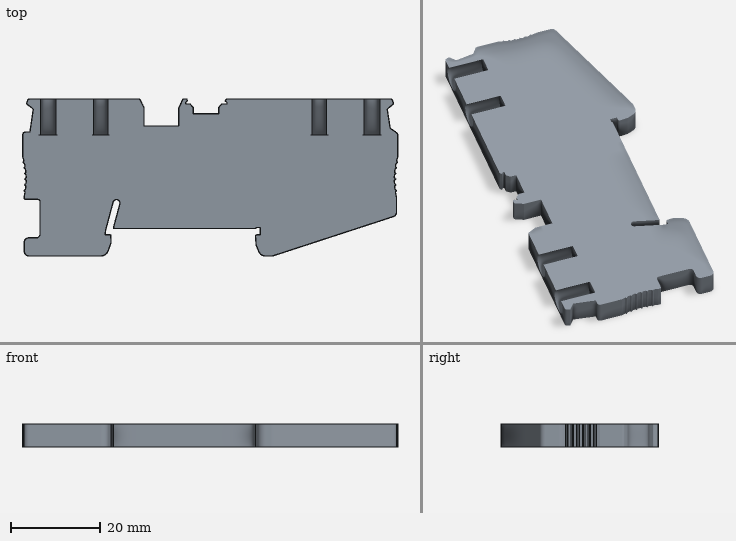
import cadquery as cq
import math

LENGTH = 84.0
HEIGHT = 35.2
THICKNESS = 5.2

LOWER_LEFT = 0.3
LOWER_RIGHT = LENGTH - 0.25
GRIP_Y = 17.2
SHOULDER_Y = 27.8
RAIL_SEAT_Y = 6.1
LATCH_Y = 4.8
MARKER_FLOOR_Y = 31.9
MARKER_LEDGE_Y = 34.1
WINDOW_FLOOR_Y = 29.15
WINDOW_TAPER_Y = 33.2

SLOT_WIDTH = 1.5
SLOT_LEAN = math.radians(15)
SLOT_TOP_Y = 12.6
SLOT_END_ROUNDING = 0.49
SLOT_MOUTH_X = 20.25

GRIP_DEPTH = 0.75
GRIP_RADIUS = 16.8
CREST_DEPTH = 0.46
CREST_RADIUS = 17.2
RIDGE_COUNT = 6
RIDGE_PITCH = 1.3
RIDGE_TOP_Y = 21.0
RIDGE_BASE = 0.6

CHANNEL_RADIUS = 2.5
CHANNEL_ARC_HALF_OPENING = 1.5
CHANNEL_LENGTH = 8.1
OUTER_FLOOR = 0.5
INNER_FLOOR = 0.25
CHANNELS = [(5.7, OUTER_FLOOR), (17.5, INNER_FLOOR), (66.45, INNER_FLOOR), (78.2, OUTER_FLOOR)]


def rounded_outline(corners):
    """Closed outline through (x, y, radius) corners; radius 0 leaves a corner sharp."""
    vectors = [cq.Vector(x, y, 0) for x, y, _ in corners]
    pieces = []
    for i, (_, _, radius) in enumerate(corners):
        corner = vectors[i]
        if radius == 0:
            pieces.append((corner, None, corner))
            continue
        back = (vectors[i - 1] - corner).normalized()
        ahead = (vectors[(i + 1) % len(vectors)] - corner).normalized()
        half_angle = back.getAngle(ahead) / 2
        setback = radius / math.tan(half_angle)
        bisector = (back + ahead).normalized()
        middle = corner + bisector * (radius / math.sin(half_angle) - radius)
        pieces.append((corner + back * setback, middle, corner + ahead * setback))

    outline = cq.Workplane("XY").moveTo(*pieces[0][2].toTuple()[:2])
    for start, middle, end in pieces[1:] + pieces[:1]:
        outline = outline.lineTo(*start.toTuple()[:2])
        if middle is not None:
            outline = outline.threePointArc(middle.toTuple()[:2], end.toTuple()[:2])
    return outline.close()


def slot_right_x(y):
    return SLOT_MOUTH_X + (y - RAIL_SEAT_Y) * math.tan(SLOT_LEAN)


def slot_left_x(y):
    return slot_right_x(y) - SLOT_WIDTH / math.cos(SLOT_LEAN)


def top_edge():
    """Corners from the left shoulder along the +Y edge to the right shoulder."""
    left_end = [
        (0, SHOULDER_Y, 0.7),
        (1.6, SHOULDER_Y, 0),
        (2.35, 32.9, 0.25),
        (0.8, 34.1, 0.2),
        (1.2, HEIGHT, 0.5),
    ]
    window = [
        (26.2, HEIGHT, 0.3),
        (27.2, WINDOW_TAPER_Y, 0),
        (27.2, WINDOW_FLOOR_Y, 0),
        (34.95, WINDOW_FLOOR_Y, 0),
        (34.95, WINDOW_TAPER_Y, 0),
        (35.9, HEIGHT, 0.25),
    ]
    marker_recess = [
        (36.8, HEIGHT, 0.2),
        (36.9, 34.8, 0),
        (36.5, 34.4, 0),
        (36.5, MARKER_LEDGE_Y, 0),
        (37.5, MARKER_LEDGE_Y, 0),
        (38.2, 33.3, 0),
        (38.2, MARKER_FLOOR_Y, 0),
        (43.85, MARKER_FLOOR_Y, 0),
        (43.85, 33.3, 0),
        (44.6, MARKER_LEDGE_Y, 0),
        (45.7, MARKER_LEDGE_Y, 0),
        (45.7, 34.4, 0),
        (45.3, 34.8, 0),
        (45.7, HEIGHT, 0.2),
    ]
    right_end = [
        (82.7, HEIGHT, 0.5),
        (83.1, 34.1, 0.2),
        (81.65, 32.9, 0.25),
        (82.3, 28.65, 0.25),
        (LENGTH, 27.5, 0.7),
    ]
    return left_end + window + marker_recess + right_end


def bottom_edge():
    """Corners from the right grip along the -Y side to the left grip."""
    right_foot = [
        (LENGTH, GRIP_Y, 0),
        (LOWER_RIGHT, GRIP_Y, 0),
        (LOWER_RIGHT, 9.1, 1.2),
        (55.95, 0, 1.7),
        (53.25, 0, 1.7),
        (52.25, 2.5, 0.8),
        (52.1, LATCH_Y, 0.3),
        (53.2, LATCH_Y, 0),
        (53.2, 6.4, 0),
        (52.25, 6.4, 0),
        (52.25, RAIL_SEAT_Y, 0),
    ]
    slot_end_y = SLOT_TOP_Y + SLOT_WIDTH / 2 * math.tan(SLOT_LEAN)
    across = SLOT_WIDTH * math.sin(SLOT_LEAN)
    end_radius = SLOT_END_ROUNDING * SLOT_WIDTH
    slot = [
        (slot_right_x(RAIL_SEAT_Y), RAIL_SEAT_Y, 0.25),
        (slot_right_x(slot_end_y - across), slot_end_y - across, end_radius),
        (slot_left_x(slot_end_y), slot_end_y, end_radius),
        (slot_left_x(5.9), 5.9, 0.4),
    ]
    left_foot = [
        (18.5, LATCH_Y, 0),
        (19.7, LATCH_Y, 0.2),
        (19.8, 3.0, 0.8),
        (18.7, 0, 1.85),
        (LOWER_LEFT, 0, 1.1),
        (LOWER_LEFT, 4.1, 1.0),
        (3.9, 4.1, 0.8),
        (3.9, 12.7, 0.5),
        (LOWER_LEFT, 12.7, 0.3),
        (LOWER_LEFT, GRIP_Y, 0),
        (0, GRIP_Y, 0),
    ]
    return right_foot + slot + left_foot


def arc_depth(y, depth, radius):
    """Inset from the left end at height y of an arc that is deepest at GRIP_Y."""
    return depth - radius + math.sqrt(radius**2 - (y - GRIP_Y) ** 2)


def grip_hollow():
    center_x = GRIP_DEPTH - GRIP_RADIUS
    return cq.Workplane("XY").center(center_x, GRIP_Y).circle(GRIP_RADIUS).extrude(THICKNESS)


def grip_ridges():
    ridges = cq.Workplane("XY")
    for i in range(RIDGE_COUNT):
        y = RIDGE_TOP_Y - i * RIDGE_PITCH
        root_x = 2 * GRIP_DEPTH
        upper_y = y + RIDGE_BASE / 2
        lower_y = y - RIDGE_BASE / 2
        profile = [
            (root_x, lower_y),
            (arc_depth(lower_y, GRIP_DEPTH, GRIP_RADIUS), lower_y),
            (arc_depth(y, CREST_DEPTH, CREST_RADIUS), y),
            (arc_depth(upper_y, GRIP_DEPTH, GRIP_RADIUS), upper_y),
            (root_x, upper_y),
        ]
        ridges = ridges.union(cq.Workplane("XY").polyline(profile).close().extrude(THICKNESS))
    return ridges


def mirrored_to_right_end(shape):
    return shape.mirror("YZ", (LENGTH / 2, 0, 0))


def channel(center_x, floor_width):
    """Round channel whose axis lies below the top face, so its sides are undercut."""
    axis_z = THICKNESS - math.sqrt(CHANNEL_RADIUS**2 - CHANNEL_ARC_HALF_OPENING**2)
    return (
        cq.Workplane("XZ", origin=(center_x, HEIGHT, axis_z))
        .slot2D(2 * CHANNEL_RADIUS + floor_width, 2 * CHANNEL_RADIUS)
        .extrude(CHANNEL_LENGTH)
    )


body = rounded_outline(top_edge() + bottom_edge()).extrude(THICKNESS)

hollow = grip_hollow()
ridges = grip_ridges()
body = body.cut(hollow).union(ridges)
body = body.cut(mirrored_to_right_end(hollow)).union(mirrored_to_right_end(ridges))

for center_x, floor_width in CHANNELS:
    body = body.cut(channel(center_x, floor_width))

result = body